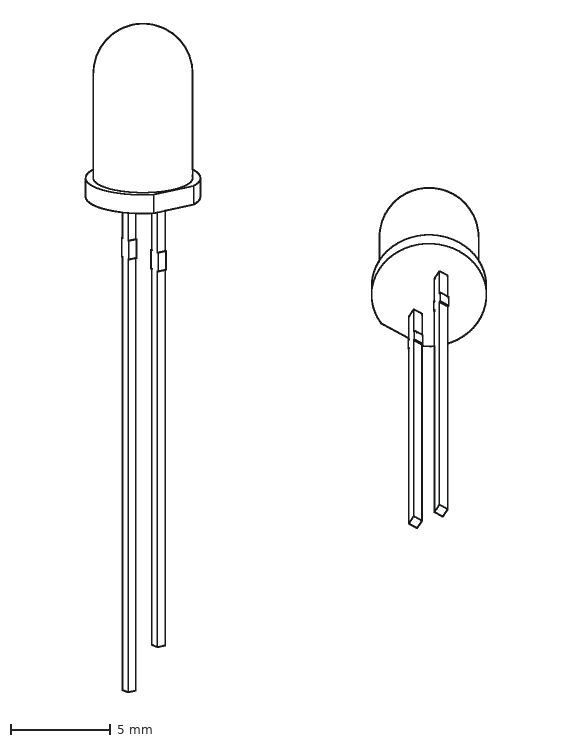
import cadquery as cq

total_height = 35.27
lens_diameter = 5.0
lens_height = 9.0
flange_diameter = 5.8
flange_thickness = 1.0
flange_flat_x = 2.6

lead_pair_x = 0.07
lead_spacing = 2.5
lead_side = 0.5
short_lead_rise = 3.0
bump_height = 1.0
bump_drop = 2.5
bump_projection = 0.065

lens_radius = lens_diameter / 2
flange_radius = flange_diameter / 2
flange_bottom = total_height - lens_height
dome_base = total_height - lens_radius
bump_bottom = flange_bottom - bump_drop - bump_height


def make_lens():
    """Domed cylinder standing on a flange with one flat."""
    profile = (
        cq.Workplane("XZ")
        .moveTo(0, flange_bottom)
        .lineTo(flange_radius, flange_bottom)
        .lineTo(flange_radius, flange_bottom + flange_thickness)
        .lineTo(lens_radius, flange_bottom + flange_thickness)
        .lineTo(lens_radius, dome_base)
        .radiusArc((0, total_height), -lens_radius)
        .close()
    )
    lens = profile.revolve(360, (0, 0, 0), (0, 1, 0))
    flat_cutter = (
        cq.Workplane("XY", origin=(flange_flat_x, 0, flange_bottom))
        .rect(flange_diameter, flange_diameter)
        .extrude(flange_thickness)
        .translate((flange_radius, 0, 0))
    )
    return lens.cut(flat_cutter)


def make_lead(center_x, bottom):
    """Square lead up to the flange underside, widened in X over the bump."""
    shaft = (
        cq.Workplane("XY", origin=(center_x, 0, bottom))
        .rect(lead_side, lead_side)
        .extrude(flange_bottom - bottom)
    )
    bump = (
        cq.Workplane("XY", origin=(center_x, 0, bump_bottom))
        .rect(lead_side + 2 * bump_projection, lead_side)
        .extrude(bump_height)
    )
    return shaft.union(bump)


lens = make_lens()

lead_places = [
    (lead_pair_x - lead_spacing / 2, 0.0),
    (lead_pair_x + lead_spacing / 2, short_lead_rise),
]
leads = [make_lead(center_x, bottom) for center_x, bottom in lead_places]

result = cq.Compound.makeCompound([lens.val(), *[lead.val() for lead in leads]])